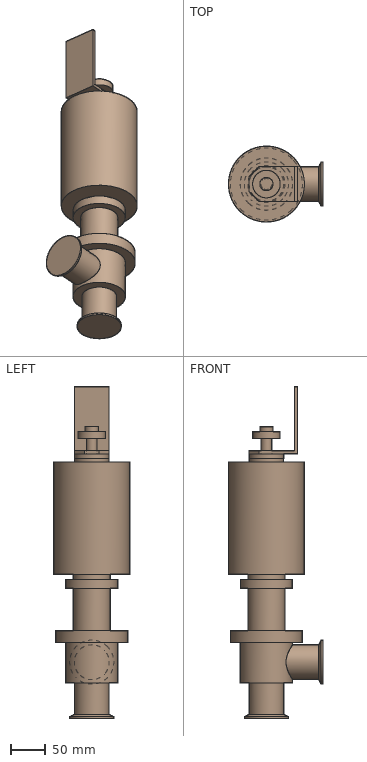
import cadquery as cq

total_height = 483.0
total_length = 137.5
actuator_diameter = 110.5
branch_end_x = total_length - actuator_diameter / 2

pipe_diameter = 50.5
ferrule_diameter = 64.0
ferrule_rim = 3.0
ferrule_height = 6.5
branch_axis_z = 82.0

chamber_diameter = 76.5
flange_diameter = 105.0
neck_diameter = 54.0
collar_diameter = 76.0
boss_base_diameter = 50.0
boss_diameter = 50.5
stem_diameter = 16.0
knob_diameter = 40.0
cap_diameter = 19.5

chamber_bottom = 52.0
flange_bottom = 110.5
flange_top = 128.0
collar_bottom = 189.5
collar_top = 202.5
actuator_bottom = 209.5
actuator_top = 373.5
boss_step = 378.0
boss_top = 385.0
knob_bottom = 407.0
knob_top = 417.0
cap_top = 424.5

bracket_thickness = 5.0
bracket_width = 50.5
bracket_back_x = 45.5
bracket_front_x = -bracket_width / 2
bracket_corner_chamfer = 14.5


def cylinder(diameter, bottom, top):
    """Upright cylinder on the valve axis between two levels."""
    return cq.Workplane("XY").workplane(offset=bottom).circle(diameter / 2).extrude(top - bottom)


def ferruled_pipe(length):
    """Pipe rising from a ferrule that has a flat rim and a tapered back."""
    pipe_radius = pipe_diameter / 2
    rim_radius = ferrule_diameter / 2
    profile = [
        (0, 0),
        (rim_radius, 0),
        (rim_radius, ferrule_rim),
        (pipe_radius, ferrule_height),
        (pipe_radius, length),
        (0, length),
    ]
    return cq.Workplane("XZ").polyline(profile).close().revolve(360, (0, 0), (0, 1))


def make_valve():
    """Valve body, actuator and stem, stacked on one vertical axis, with a side branch."""
    sections = [
        (chamber_diameter, chamber_bottom, flange_bottom),
        (flange_diameter, flange_bottom, flange_top),
        (neck_diameter, flange_top, collar_bottom),
        (collar_diameter, collar_bottom, collar_top),
        (neck_diameter, collar_top, actuator_bottom),
        (actuator_diameter, actuator_bottom, actuator_top),
        (boss_base_diameter, actuator_top, boss_step),
        (boss_diameter, boss_step, boss_top),
        (stem_diameter, boss_top, knob_bottom),
        (knob_diameter, knob_bottom, knob_top),
        (cap_diameter, knob_top, cap_top),
    ]
    valve = ferruled_pipe(chamber_bottom)
    for diameter, bottom, top in sections:
        valve = valve.union(cylinder(diameter, bottom, top))

    branch = (
        ferruled_pipe(branch_end_x)
        .rotate((0, 0, 0), (0, 1, 0), -90)
        .translate((branch_end_x, 0, branch_axis_z))
    )
    return valve.union(branch)


def make_bracket():
    """L-shaped plate resting on the boss, with the stem passing through its foot."""
    bracket_height = total_height - boss_top
    foot_top = boss_top + bracket_thickness
    foot = (
        cq.Workplane("XY", origin=(bracket_front_x, 0, boss_top))
        .box(bracket_back_x - bracket_front_x, bracket_width, bracket_thickness, centered=(False, True, False))
        .edges("|Z and <X")
        .chamfer(bracket_corner_chamfer)
    )
    upright = cq.Workplane("XY", origin=(bracket_back_x - bracket_thickness, 0, boss_top)).box(
        bracket_thickness, bracket_width, bracket_height, centered=(False, True, False)
    )
    return foot.union(upright).cut(cylinder(stem_diameter, boss_top, foot_top))


valve = make_valve()
bracket = make_bracket()

result = cq.Compound.makeCompound([valve.val(), bracket.val()])